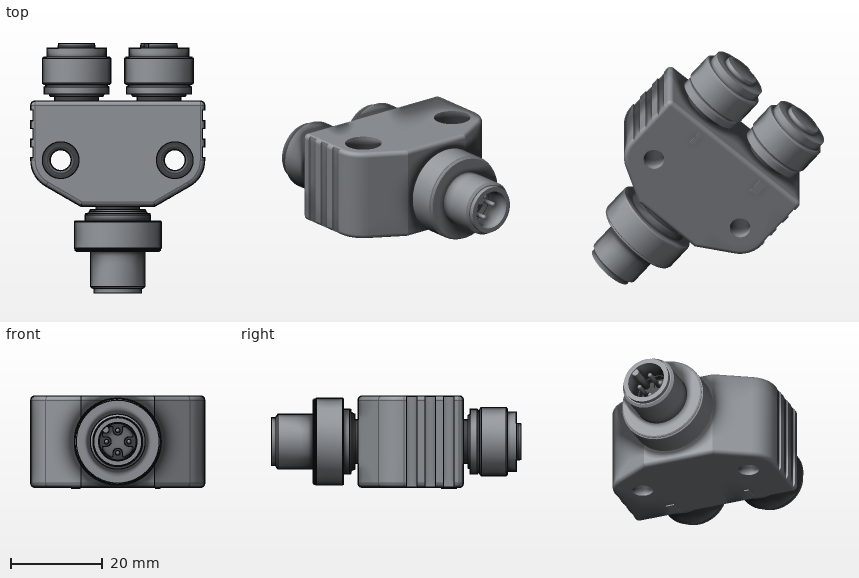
import cadquery as cq
import math

body_width = 38.0
body_height = 20.0
body_back = 14.65
body_front = -8.35
edge_radius = 1.0
corner_radius = 6.55
nose_angle = math.radians(30)

hole_diameter = 4.5
hole_lip = 0.65
counterbore_diameter = 8.0
counterbore_depth = 4.6
hole_x = body_width / 2 - corner_radius
hole_y = 1.75

groove_count = 3
groove_width = 2.3
groove_depth = 0.5
groove_pitch = 4.05
first_groove_y = 11.5

socket_x = 9.0
neck_diameter = 9.6
ring_diameter = 14.2
overlap = 0.55

socket_cone_start_y = 15.65
socket_cone_start_diameter = 11.45
socket_cone_end_diameter = 12.0
socket_ring_start_y = 16.15
socket_ring_end_y = 17.65
socket_nut_start_y = 18.25
socket_nut_end_y = 24.25
socket_nut_diameter = 15.0
socket_nut_chamfer = 0.3
socket_groove_taper = 0.1
socket_sleeve_diameter = 13.0
socket_insert_base_y = 26.2
socket_insert_diameter = 8.0
socket_insert_taper_length = 0.55
socket_insert_taper_depth = 0.1
socket_tip_y = 27.25

plug_cone_start_y = -9.05
plug_cone_start_diameter = 12.0
plug_cone_middle_y = -9.5
plug_cone_middle_diameter = 12.3
plug_cone_end_diameter = 13.1
plug_ring_start_y = -9.9
plug_ring_bevel_length = 0.25
plug_ring_bevel_depth = 0.1
plug_nut_start_y = -11.5
plug_nut_bevel = 0.25
plug_nut_diameter = 19.0
plug_nut_end_y = -17.45
plug_groove_y = -17.65
plug_groove_diameter = 18.3
plug_rim_start_y = -17.75
plug_rim_end_y = -17.95
plug_rim_diameter = 18.65
plug_nut_face_y = -18.15
plug_nut_face_diameter = 18.1
plug_barrel_diameter = 12.0
plug_chamfer_start_y = -25.8
plug_chamfer_end_diameter = 10.9
plug_spigot_start_y = -26.25
plug_spigot_diameter = 10.45
plug_tip_y = -27.25

bore_diameter = 8.4
bore_step_diameter = 8.0
bore_step_depth = 6.0
bore_depth = 7.65
insert_diameter = 7.4
insert_height = 0.55
key_diameter = 1.5
key_radius = 3.7
key_setback = 0.25
key_angle = math.radians(135)
pin_count = 4
pin_diameter = 1.0
pin_circle_radius = 2.45
pin_setback = 1.95
pin_slot_width = 2.0
pin_slot_corner = 0.45

pad_height = 0.2
pad_length = 3.25
pad_y = 11.5
left_pad_x = -9.2
left_pad_width = 1.85
right_pad_x = 8.7
right_pad_width = 1.05


def turned(profile):
    """Solid of revolution about the Y axis from (radius, y) points."""
    start_y = profile[0][1]
    end_y = profile[-1][1]
    points = [(0, start_y)] + profile + [(0, end_y)]
    return cq.Workplane("XY").polyline(points).close().revolve(360, (0, 0, 0), (0, 1, 0))


def rod(diameter, front_y, length, x=0.0, z=0.0):
    """Cylinder running from front_y towards +Y."""
    return (
        cq.Workplane("XZ", origin=(x, front_y, z))
        .circle(diameter / 2)
        .extrude(-length)
    )


def around_axis(feature):
    """Copies of a feature spaced evenly about the Y axis, one for each pin."""
    copies = feature
    for i in range(1, pin_count):
        copies = copies.union(feature.rotate((0, 0, 0), (0, 1, 0), i * 360 / pin_count))
    return copies


def housing():
    """Block with arcs blending its flanks into the tapered nose, rounded top and bottom."""
    half = body_width / 2
    swing = math.pi / 2 - nose_angle
    arc_end_x = hole_x + corner_radius * math.cos(swing)
    arc_end_y = hole_y - corner_radius * math.sin(swing)
    arc_mid_x = hole_x + corner_radius * math.cos(swing / 2)
    arc_mid_y = hole_y - corner_radius * math.sin(swing / 2)
    nose_half = arc_end_x - (arc_end_y - body_front) / math.tan(nose_angle)
    block = (
        cq.Workplane("XY", origin=(0, 0, -body_height / 2))
        .moveTo(-half, body_back)
        .lineTo(half, body_back)
        .lineTo(half, hole_y)
        .threePointArc((arc_mid_x, arc_mid_y), (arc_end_x, arc_end_y))
        .lineTo(nose_half, body_front)
        .lineTo(-nose_half, body_front)
        .lineTo(-arc_end_x, arc_end_y)
        .threePointArc((-arc_mid_x, arc_mid_y), (-half, hole_y))
        .close()
        .extrude(body_height)
    )
    block = block.edges("|Z and >Y").fillet(edge_radius)
    return block.faces("<Z or >Z").edges().fillet(edge_radius)


def grip_grooves():
    """Cutters for the full-height grooves on both flanks."""
    centres = [
        (side * body_width / 2, first_groove_y - i * groove_pitch)
        for side in (-1, 1)
        for i in range(groove_count)
    ]
    return (
        cq.Workplane("XY")
        .pushPoints(centres)
        .rect(2 * groove_depth, groove_width)
        .extrude(body_height, both=True)
    )


def mounting_hole(x):
    """Counterbored through hole with a rounded lip at the counterbore floor."""
    floor_z = body_height / 2 - counterbore_depth
    hole_radius = hole_diameter / 2
    lip_sag = hole_lip * math.sqrt(0.5)
    return (
        cq.Workplane("XZ")
        .moveTo(0, body_height / 2)
        .lineTo(counterbore_diameter / 2, body_height / 2)
        .lineTo(counterbore_diameter / 2, floor_z)
        .lineTo(hole_radius + hole_lip, floor_z)
        .threePointArc(
            (hole_radius + hole_lip - lip_sag, floor_z - hole_lip + lip_sag),
            (hole_radius, floor_z - hole_lip),
        )
        .lineTo(hole_radius, -body_height / 2)
        .lineTo(0, -body_height / 2)
        .close()
        .revolve(360, (0, 0, 0), (0, 1, 0))
        .translate((x, hole_y, 0))
    )


def socket():
    """Female connector: neck, conical shoulder, ring, nut, sleeve and insert."""
    neck = neck_diameter / 2
    ring = ring_diameter / 2
    nut = socket_nut_diameter / 2
    sleeve = socket_sleeve_diameter / 2
    insert = socket_insert_diameter / 2
    return turned([
        (neck, body_back - overlap),
        (neck, socket_cone_start_y),
        (socket_cone_start_diameter / 2, socket_cone_start_y),
        (socket_cone_end_diameter / 2, socket_ring_start_y),
        (ring, socket_ring_start_y),
        (ring, socket_ring_end_y),
        (sleeve, socket_nut_start_y - socket_groove_taper),
        (nut - socket_nut_chamfer, socket_nut_start_y),
        (nut, socket_nut_start_y + socket_nut_chamfer),
        (nut, socket_nut_end_y - socket_nut_chamfer),
        (nut - socket_nut_chamfer, socket_nut_end_y),
        (sleeve, socket_nut_end_y),
        (sleeve, socket_insert_base_y),
        (insert, socket_insert_base_y),
        (insert, socket_tip_y - socket_insert_taper_length),
        (insert - socket_insert_taper_depth, socket_tip_y),
    ])


def plug():
    """Male connector: neck, conical shoulder, ring, nut, barrel and hollow spigot."""
    neck = neck_diameter / 2
    ring = ring_diameter / 2
    nut = plug_nut_diameter / 2
    rim = plug_rim_diameter / 2
    barrel = plug_barrel_diameter / 2
    spigot = plug_spigot_diameter / 2
    outside = turned([
        (neck, body_front + overlap),
        (neck, plug_cone_start_y),
        (plug_cone_start_diameter / 2, plug_cone_start_y),
        (plug_cone_middle_diameter / 2, plug_cone_middle_y),
        (plug_cone_end_diameter / 2, plug_ring_start_y),
        (ring - plug_ring_bevel_depth, plug_ring_start_y),
        (ring, plug_ring_start_y - plug_ring_bevel_length),
        (ring, plug_nut_start_y),
        (rim, plug_nut_start_y),
        (nut, plug_nut_start_y - plug_nut_bevel),
        (nut, plug_nut_end_y),
        (plug_groove_diameter / 2, plug_groove_y),
        (rim, plug_rim_start_y),
        (rim, plug_rim_end_y),
        (plug_nut_face_diameter / 2, plug_nut_face_y),
        (barrel, plug_nut_face_y),
        (barrel, plug_chamfer_start_y),
        (plug_chamfer_end_diameter / 2, plug_spigot_start_y),
        (spigot, plug_spigot_start_y),
        (spigot, plug_tip_y),
    ])
    outside = outside.cut(rod(bore_diameter, plug_tip_y, bore_step_depth))
    return outside.cut(rod(bore_step_diameter, plug_tip_y, bore_depth))


def pin_slots(front_y, length):
    """Slots around the pins, open towards the rim."""
    open_end = (bore_diameter - pin_slot_width) / 2
    slot = rod(pin_slot_width, front_y, length, x=pin_circle_radius).union(
        cq.Workplane("XZ", origin=(pin_circle_radius + open_end / 2, front_y, 0))
        .rect(open_end, pin_slot_width)
        .extrude(-length)
    )
    return around_axis(slot)


def pin():
    """Contact pin with a hemispherical tip."""
    radius = pin_diameter / 2
    shank_y = plug_tip_y + pin_setback + radius
    shank_length = plug_tip_y + bore_depth + overlap - shank_y
    tip = cq.Workplane("XY").sphere(radius).translate((pin_circle_radius, shank_y, 0))
    return rod(pin_diameter, shank_y, shank_length, x=pin_circle_radius).union(tip)


def pin_insert():
    """Raised disc on the bore floor, slotted around each pin, with pins and a key rib."""
    face_y = plug_tip_y + bore_depth - insert_height
    insert = rod(insert_diameter, face_y, insert_height)
    insert = insert.cut(pin_slots(face_y, insert_height))

    inner_limit = pin_circle_radius + pin_slot_width / 4
    slot_ends = cq.selectors.BoxSelector(
        (-inner_limit, face_y - insert_height, -inner_limit),
        (inner_limit, face_y + 2 * insert_height, inner_limit),
    )
    mouth_corners = cq.selectors.StringSyntaxSelector("|Y") - slot_ends
    insert = insert.edges(mouth_corners).fillet(pin_slot_corner)

    base = rod(insert_diameter, face_y + insert_height, overlap)
    key = rod(
        key_diameter,
        plug_tip_y + key_setback,
        bore_depth - key_setback + overlap,
        x=key_radius * math.cos(key_angle),
        z=key_radius * math.sin(key_angle),
    )
    return insert.union(base).union(around_axis(pin())).union(key)


def keyway():
    """Round groove along the rim of a socket insert, matching the key of the plug."""
    return rod(
        key_diameter,
        socket_insert_base_y,
        socket_tip_y - socket_insert_base_y,
        x=socket_x + key_radius * math.cos(key_angle),
        z=key_radius * math.sin(key_angle),
    )


def identification_pad(x, width):
    """Thin plate sunk into the underside so that only its height stands proud."""
    return (
        cq.Workplane("XY")
        .box(width, pad_length, pad_height + overlap, centered=(True, True, False))
        .translate((x, pad_y, -body_height / 2 - pad_height))
    )


result = housing().cut(grip_grooves())
for side in (-1, 1):
    result = result.cut(mounting_hole(side * hole_x))
    result = result.union(socket().translate((side * socket_x, 0, 0)))
result = result.cut(keyway())
result = result.union(plug()).union(pin_insert())
result = result.union(identification_pad(left_pad_x, left_pad_width))
result = result.union(identification_pad(right_pad_x, right_pad_width))